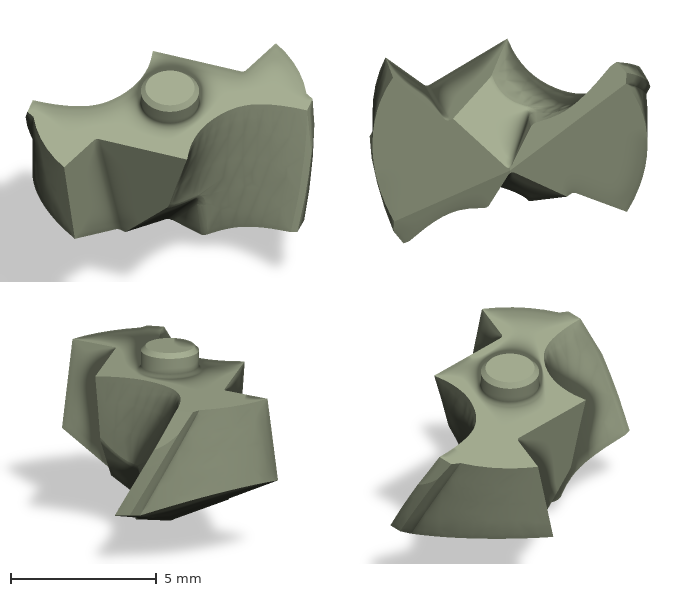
import cadquery as cq
import math

cutting_radius = 4.955
relief_radius = 4.72
tip_depth = 5.47
blank_height = 5.95
twist_per_unit = 6.559
far = 14.865

margin_end_angle = 21.0
relief_start_angle = 25.0

flute_points = [
    (-1.64, 3.17), (-1.38, 2.32), (-1.29, 1.47), (-1.38, 0.79), (-1.68, 0.05),
    (-2.44, -0.78), (-3.34, -1.12), (-4.56, -1.23),
]

hub_half_width = 2.32
gullet_corner_x = -1.91
gullet_slant_x = 0.19
gullet_slant_y = 0.012
wing_back_angle = 70.2
gullet_fillet = 0.16

cutting_edge_slope = 0.354
flank_slope = 0.394
land_slope = 0.08

gash_slope_x = 1.096
gash_slope_y = 0.949
gash_wall_angle = -30.0
gash_wall_shift = -0.06
gash_fillet = 0.18
lip_fillet = 0.3
lip_corner = (1.29, -0.75, -4.16)

bevel_top_x = 4.55
bevel_depth = 1.44

spigot_radius = 1.0
spigot_height = 0.84
spigot_chamfer = 0.16
spigot_fillet = 0.13
spigot_embed = 0.1


def polar(radius, angle):
    return (radius * math.cos(math.radians(angle)), radius * math.sin(math.radians(angle)))


def opposite(point):
    return (-point[0], -point[1])


def both_sides(shape):
    """Return the shape together with its copy turned half a turn about Z."""
    return [shape, shape.rotate((0, 0, 0), (0, 0, 1), 180)]


def half_space(origin, normal):
    """Large block on the side of a plane that the normal points to."""
    return cq.Workplane(cq.Plane(origin=origin, normal=normal)).rect(2 * far, 2 * far).extrude(far)


def twisted_body():
    """Two-winged section with its flutes, twisted about Z."""
    flute_start = flute_points[0]
    flute_end = flute_points[-1]
    end_angle = math.degrees(math.atan2(-flute_end[1], -flute_end[0]))
    margin_start = polar(cutting_radius, end_angle)
    margin_middle = polar(cutting_radius, (end_angle + margin_end_angle) / 2)
    margin_end = polar(cutting_radius, margin_end_angle)
    relief_start = polar(relief_radius, relief_start_angle)
    run_out_angle = math.degrees(math.atan2(flute_start[1], flute_start[0]))
    relief_middle = polar(relief_radius, (relief_start_angle + run_out_angle) / 2)
    relief_end = polar(relief_radius, run_out_angle)

    section = cq.Workplane("XY").workplane(offset=-blank_height).moveTo(*relief_end)
    for side in (lambda point: point, opposite):
        section = section.lineTo(*side(flute_start))
        section = section.spline([side(point) for point in flute_points[1:]], includeCurrent=True)
        section = section.lineTo(*side(opposite(margin_start)))
        section = section.threePointArc(side(opposite(margin_middle)), side(opposite(margin_end)))
        section = section.lineTo(*side(opposite(relief_start)))
        section = section.threePointArc(side(opposite(relief_middle)), side(opposite(relief_end)))
    twist = blank_height * twist_per_unit
    return section.close().twistExtrude(blank_height, twist).rotate((0, 0, 0), (0, 0, 1), -twist)


def gullet():
    """Slanted V-shaped cutter, rounded along its inner corner."""
    wing_x = gullet_corner_x - far / math.tan(math.radians(wing_back_angle))
    slant = cq.Vector(gullet_slant_x, gullet_slant_y, -1) * (2 * blank_height)
    profile = cq.Wire.makePolygon([
        cq.Vector(x, y, 0)
        for x, y in (
            (gullet_corner_x, -hub_half_width),
            (wing_x, -hub_half_width - far),
            (far, -hub_half_width - far),
            (far, -hub_half_width),
        )
    ], close=True)
    cutter = cq.Workplane(cq.Solid.extrudeLinear(profile, [], slant))
    inner_corner = cq.selectors.NearestToPointSelector(
        (gullet_corner_x + slant.x / 2, slant.y / 2 - hub_half_width, slant.z / 2))
    return cutter.edges(inner_corner).fillet(gullet_fillet)


def gash():
    """Cutter below the sloping gash floor and in front of the upright web wall."""
    tip = (0, 0, -tip_depth)
    wall_x, wall_y = polar(1, gash_wall_angle - 90)
    below_floor = half_space(tip, (gash_slope_x, -gash_slope_y, -1))
    before_wall = half_space((gash_wall_shift, 0, -tip_depth), (wall_x, wall_y, 0))
    cutter = below_floor.intersect(before_wall)
    along_x, along_y = polar(1, gash_wall_angle)
    reach = 0.99
    root = cq.selectors.NearestToPointSelector((
        gash_wall_shift + along_x * reach,
        along_y * reach,
        -tip_depth + gash_slope_x * gash_wall_shift
        + (gash_slope_x * along_x - gash_slope_y * along_y) * reach,
    ))
    return cutter.edges(root).fillet(gash_fillet)


def spigot():
    """Chamfered round pin on the top face, with a concave fillet at its foot."""
    foot_radius = spigot_radius + spigot_fillet
    bend = spigot_fillet * (1 - math.sqrt(0.5))
    return (
        cq.Workplane("XZ")
        .moveTo(0, -spigot_embed)
        .lineTo(foot_radius, -spigot_embed)
        .lineTo(foot_radius, 0)
        .threePointArc((spigot_radius + bend, bend), (spigot_radius, spigot_fillet))
        .lineTo(spigot_radius, spigot_height - spigot_chamfer)
        .lineTo(spigot_radius - spigot_chamfer, spigot_height)
        .lineTo(0, spigot_height)
        .close()
        .revolve(360, (0, 0, 0), (0, 1, 0))
    )


tip_point = (0, 0, -tip_depth)
flank = half_space(tip_point, (-cutting_edge_slope, -flank_slope, -1))
land = half_space(tip_point, (cutting_edge_slope, land_slope, -1))
bevel = half_space((bevel_top_x, 0, 0), (bevel_depth, 0, cutting_radius - bevel_top_x))

result = twisted_body()
for cutter in (flank, land, bevel, gullet(), gash()):
    for copy in both_sides(cutter):
        result = result.cut(copy)
for corner in (lip_corner, (*opposite(lip_corner), lip_corner[2])):
    result = result.edges(cq.selectors.NearestToPointSelector(corner)).fillet(lip_fillet)
result = result.union(spigot())